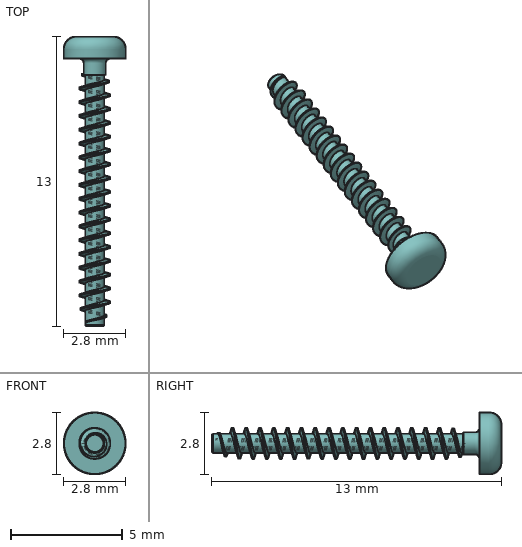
import cadquery as cq
import math

OVERALL_LENGTH = 13.0

HEAD_RADIUS = 2.8 / 2
HEAD_HEIGHT = 1.0
HEAD_RIM_HEIGHT = 0.44
HEAD_TOP_RADIUS = 0.9
RIM_CHAMFER = 0.03

NECK_RADIUS = 1.0 / 2
NECK_LENGTH = 0.7
NECK_FILLET = 0.18
NECK_STEP_LENGTH = 0.04

CORE_RADIUS = 0.87 / 2
SHANK_LENGTH = OVERALL_LENGTH - HEAD_HEIGHT
TIP_CHAMFER = 0.05

THREAD_LENGTH = 11.15
THREAD_TURNS = 18
PITCH = THREAD_LENGTH / THREAD_TURNS
CREST_RADIUS = 1.4 / 2
CREST_WIDTH = 0.05
ROOT_WIDTH = 0.21
RIB_SINK = 0.04
ROOT_RADIUS = CORE_RADIUS - RIB_SINK
START_CREST_RADIUS = 0.58
END_CREST_RADIUS = CORE_RADIUS - RIB_SINK / 3
START_ANGLE = 180
RUN_IN_TURNS = 1.0
RUN_OUT_TURNS = 1.25
FULL_TURNS = THREAD_TURNS - RUN_IN_TURNS - RUN_OUT_TURNS

ORIGIN = cq.Vector(0, 0, 0)
X_AXIS = cq.Vector(1, 0, 0)
Z_AXIS = cq.Vector(0, 0, 1)


def make_body():
    """Head, neck and core revolved about Y from one half outline of (radius, Y) points."""
    dome_width = HEAD_RADIUS - HEAD_TOP_RADIUS
    dome_height = HEAD_HEIGHT - HEAD_RIM_HEIGHT
    dome_radius = (dome_width**2 + dome_height**2) / (2 * dome_width)
    fillet_middle = NECK_FILLET * (1 - math.sqrt(0.5))
    return (
        cq.Workplane("XY")
        .moveTo(0, HEAD_HEIGHT)
        .lineTo(HEAD_TOP_RADIUS, HEAD_HEIGHT)
        .radiusArc((HEAD_RADIUS, HEAD_RIM_HEIGHT), dome_radius)
        .lineTo(HEAD_RADIUS, RIM_CHAMFER)
        .lineTo(HEAD_RADIUS - RIM_CHAMFER, 0)
        .lineTo(NECK_RADIUS + NECK_FILLET, 0)
        .threePointArc((NECK_RADIUS + fillet_middle, -fillet_middle), (NECK_RADIUS, -NECK_FILLET))
        .lineTo(NECK_RADIUS, -NECK_LENGTH)
        .lineTo(CORE_RADIUS, -NECK_LENGTH - NECK_STEP_LENGTH)
        .lineTo(CORE_RADIUS, -SHANK_LENGTH + TIP_CHAMFER)
        .lineTo(CORE_RADIUS - TIP_CHAMFER, -SHANK_LENGTH)
        .lineTo(0, -SHANK_LENGTH)
        .close()
        .revolve(360, (0, 0), (0, 1))
    )


def rib_corners(crest_radius):
    """Corners (radius, axial offset) of the rib section; the flank slope is the same at any crest height."""
    flank_slope = (ROOT_WIDTH - CREST_WIDTH) / (CREST_RADIUS - ROOT_RADIUS)
    half_crest = CREST_WIDTH / 2
    half_root = half_crest + flank_slope * (crest_radius - ROOT_RADIUS) / 2
    return [
        (ROOT_RADIUS, -half_root),
        (crest_radius, -half_crest),
        (crest_radius, half_crest),
        (ROOT_RADIUS, half_root),
    ]


def make_helix(first_turn, turns, start_corner, end_corner):
    """Helix along +Z that carries one rib corner evenly from its start to its end position."""
    start_radius, start_offset = start_corner
    end_radius, end_offset = end_corner
    rise = PITCH * turns + end_offset - start_offset
    if start_radius == end_radius:
        helix = cq.Wire.makeHelix(rise / turns, rise, start_radius)
    else:
        cone_angle = math.atan2(end_radius - start_radius, rise)
        slant = rise / math.cos(cone_angle)
        helix = cq.Wire.makeHelix(slant / turns, slant, start_radius, angle=math.degrees(cone_angle))
    helix = helix.rotate(ORIGIN, Z_AXIS, START_ANGLE + 360 * first_turn)
    return helix.translate(Z_AXIS * (PITCH * first_turn + start_offset)).Edges()[0]


def make_rib(first_turn, turns, start_crest, end_crest):
    """Solid stretch of thread bounded by ruled faces between the four corner helices and flat ends."""
    corner_pairs = zip(rib_corners(start_crest), rib_corners(end_crest))
    helices = [make_helix(first_turn, turns, start, end) for start, end in corner_pairs]
    next_helices = helices[1:] + helices[:1]
    faces = [cq.Face.makeRuledSurface(one, other) for one, other in zip(helices, next_helices)]
    for end in (0, 1):
        corners = [helix.positionAt(end) for helix in helices]
        faces.append(cq.Face.makeFromWires(cq.Wire.makePolygon(corners, close=True)))
    return cq.Solid.makeSolid(cq.Shell.makeShell(faces)).fix()


def make_thread():
    """Run-in, full-height and run-out stretches, turned to advance along -Y from the end of the neck."""
    stretches = [
        (RUN_IN_TURNS, START_CREST_RADIUS, CREST_RADIUS),
        (FULL_TURNS, CREST_RADIUS, CREST_RADIUS),
        (RUN_OUT_TURNS, CREST_RADIUS, END_CREST_RADIUS),
    ]
    ribs = []
    first_turn = 0
    for turns, start_crest, end_crest in stretches:
        rib = make_rib(first_turn, turns, start_crest, end_crest)
        ribs.append(rib.rotate(ORIGIN, X_AXIS, 90).translate(cq.Vector(0, -NECK_LENGTH, 0)))
        first_turn += turns
    return ribs


result = make_body()
for rib in make_thread():
    result = result.union(cq.Workplane(obj=rib))